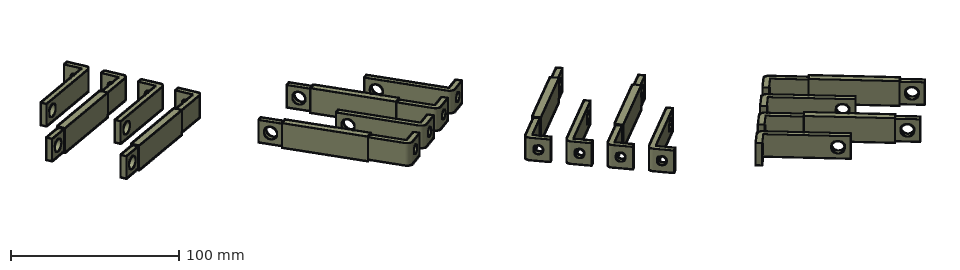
import cadquery as cq

PITCH = 25.0
STRAP_WIDTH = 15.0
THICKNESS = 4.0
OUTER_BEND_RADIUS = 3.5
INNER_BEND_RADIUS = 0.4

LONG_LENGTH = 96.0
SHORT_LENGTH = 56.1
OVERALL_WIDTH = 91.5
SLEEVE_HEIGHT = 16.4

SLEEVE_WALL = (SLEEVE_HEIGHT - STRAP_WIDTH) / 2
SLEEVE_START = 26.8
SLEEVE_LENGTH = 54.2

STRAP_COUNT = 4
FOOT_LENGTH = OVERALL_WIDTH - (STRAP_COUNT - 1) * PITCH - SLEEVE_WALL

FOOT_HOLE_DIAMETER = 6.0
FOOT_HOLE_OFFSET = 7.4
END_HOLE_DIAMETER = 8.2
END_HOLE_OFFSET = 7.6


def bent_strap(length):
    """L-shaped strap: foot along X with its outer face at Y = 0, leg along -Y."""
    inner_x = FOOT_LENGTH - THICKNESS
    strap = (
        cq.Workplane("XY")
        .moveTo(0, 0)
        .lineTo(FOOT_LENGTH, 0)
        .lineTo(FOOT_LENGTH, -length)
        .lineTo(inner_x, -length)
        .lineTo(inner_x, -THICKNESS)
        .lineTo(0, -THICKNESS)
        .close()
        .extrude(STRAP_WIDTH / 2, both=True)
    )
    outer_corner = cq.selectors.NearestToPointSelector((FOOT_LENGTH, 0, 0))
    inner_corner = cq.selectors.NearestToPointSelector((inner_x, -THICKNESS, 0))
    strap = strap.edges("|Z").edges(outer_corner).fillet(OUTER_BEND_RADIUS)
    strap = strap.edges("|Z").edges(inner_corner).fillet(INNER_BEND_RADIUS)

    foot_hole = (
        cq.Workplane("XZ")
        .center(FOOT_HOLE_OFFSET, 0)
        .circle(FOOT_HOLE_DIAMETER / 2)
        .extrude(THICKNESS)
    )
    end_hole = (
        cq.Workplane("YZ", origin=(inner_x, 0, 0))
        .center(END_HOLE_OFFSET - length, 0)
        .circle(END_HOLE_DIAMETER / 2)
        .extrude(THICKNESS)
    )
    return strap.cut(foot_hole).cut(end_hole)


def short_strap():
    return bent_strap(SHORT_LENGTH)


def sleeved_strap():
    """Long strap thickened on all four sides between the foot and the end hole."""
    sleeve = cq.Workplane("XY").box(
        THICKNESS + 2 * SLEEVE_WALL, SLEEVE_LENGTH, SLEEVE_HEIGHT
    ).translate((FOOT_LENGTH - THICKNESS / 2, -SLEEVE_START - SLEEVE_LENGTH / 2, 0))
    return bent_strap(LONG_LENGTH).union(sleeve)


straps = []
for index in range(STRAP_COUNT):
    strap = short_strap() if index % 2 == 0 else sleeved_strap()
    straps.append(strap.translate((index * PITCH, 0, 0)).val())

result = cq.Compound.makeCompound(straps)